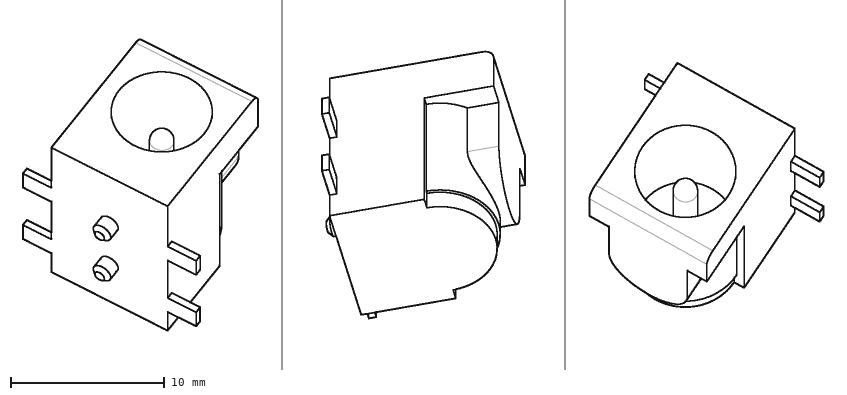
import cadquery as cq


body_width = 9.0
body_depth = 11.0
body_height = 13.3
collar_height = 3.5
edge_radius = 0.75
collar_bottom = body_height - collar_height

axis_y = 6.35
barrel_radius = 3.93
foot_radius = 3.73
foot_height = 1.4

rib_radius = 3.0
rib_bottom = 2.6

bore_diameter = 6.6
bore_depth = 9.0
contact_diameter = 1.6
contact_tip_depth = 2.25
bore_floor = body_height - bore_depth

lead_span = 13.4
lead_thickness = 0.5
lead_height = 1.5
lead_bottoms = (2.0, 7.5)

peg_diameter = 1.35
peg_length = 1.2
peg_chamfer = 0.3
peg_heights = (4.0, 8.3)


def box(width, depth, bottom, top):
    """Box centered on X = 0 that starts at the mounting face."""
    return (
        cq.Workplane("XY", origin=(0, depth / 2, bottom))
        .rect(width, depth)
        .extrude(top - bottom)
    )


def round_bar(radius, bottom, top):
    """Vertical cylinder on the plug axis."""
    return (
        cq.Workplane("XY", origin=(0, axis_y, bottom))
        .circle(radius)
        .extrude(top - bottom)
    )


def make_collar():
    """Full-depth block around the plug opening, with its back top edge rounded."""
    collar = box(body_width, body_depth, collar_bottom, body_height)
    return collar.edges(">Y and >Z").fillet(edge_radius)


def make_barrel():
    foot = round_bar(foot_radius, 0, foot_height)
    return foot.union(round_bar(barrel_radius, foot_height, collar_bottom))


def make_rib():
    """Rib from the plug axis to the back face, with a half-round lower end."""
    arc_center = rib_bottom + rib_radius
    return (
        cq.Workplane("XZ", origin=(0, body_depth, 0))
        .moveTo(-rib_radius, collar_bottom)
        .lineTo(-rib_radius, arc_center)
        .threePointArc((0, rib_bottom), (rib_radius, arc_center))
        .lineTo(rib_radius, collar_bottom)
        .close()
        .extrude(body_depth - axis_y)
    )


def make_contact():
    """Center contact standing on the bore floor, with a hemispherical tip."""
    radius = contact_diameter / 2
    dome_center = body_height - contact_tip_depth - radius
    dome = cq.Workplane("XY", origin=(0, axis_y, dome_center)).sphere(radius)
    return round_bar(radius, bore_floor, dome_center).union(dome)


def make_peg(height):
    """Locating peg on the mounting face, chamfered at its free end."""
    return (
        cq.Workplane("XZ", origin=(0, 0, height))
        .circle(peg_diameter / 2)
        .extrude(peg_length)
        .faces("<Y")
        .chamfer(peg_chamfer)
    )


result = box(body_width, axis_y, 0, collar_bottom)
result = result.union(make_collar()).union(make_barrel()).union(make_rib())
result = result.cut(round_bar(bore_diameter / 2, bore_floor, body_height))
result = result.union(make_contact())

for lead_bottom in lead_bottoms:
    result = result.union(box(lead_span, lead_thickness, lead_bottom, lead_bottom + lead_height))

for peg_height in peg_heights:
    result = result.union(make_peg(peg_height))